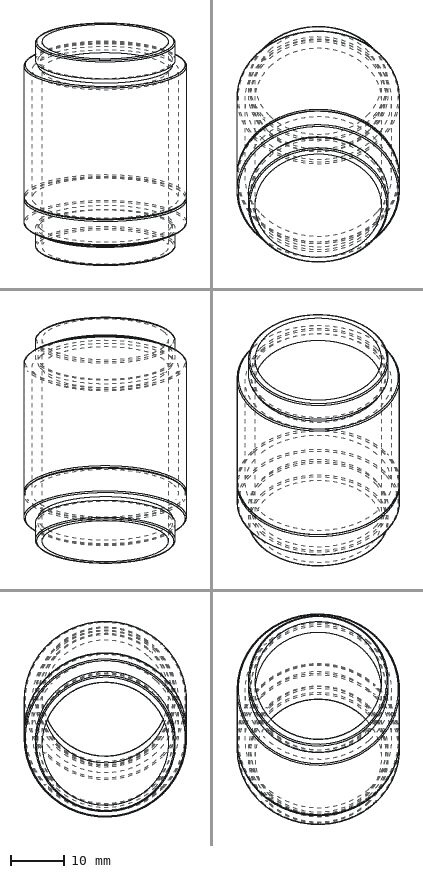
import cadquery as cq

total_length = 40.0
barrel_diameter = 30.5
bore_diameter = 23.7

flange_diameter = 26.25
flange_length = 3.6
neck_diameter = 25.3
shoulder_distance = 4.5

joint_height = 9.5
tube_diameter = 27.5
tube_top = total_length - 5.5

edge_chamfer = 0.25


def disc(diameter, bottom, top):
    """Solid cylinder on the Z axis between two heights."""
    return cq.Workplane("XY").workplane(offset=bottom).circle(diameter / 2).extrude(top - bottom)


def barrel_section(bottom, top):
    """Full-diameter length of barrel with both rims chamfered."""
    return disc(barrel_diameter, bottom, top).faces("<Z or >Z").chamfer(edge_chamfer)


def bottom_end():
    """Narrow neck and end flange standing on Z = 0, with the outer rim chamfered."""
    flange = disc(flange_diameter, 0, flange_length).faces("<Z").chamfer(edge_chamfer)
    neck = disc(neck_diameter, flange_length, shoulder_distance)
    return flange.union(neck)


def top_end():
    """Mirror image of the bottom end, placed at the top of the assembly."""
    return bottom_end().mirror("XY").translate((0, 0, total_length))


def make_bore():
    """Bore that runs through the whole assembly."""
    return disc(bore_diameter, 0, total_length)


def make_tube_envelope():
    """Space taken by the inner tube inside the sleeve."""
    return disc(tube_diameter, joint_height, tube_top)


def make_outer_sleeve():
    """Upper body: long sleeve with the top end, recessed from below for the inner tube."""
    sleeve = barrel_section(joint_height, total_length - shoulder_distance)
    return sleeve.union(top_end()).cut(make_bore()).cut(make_tube_envelope())


def make_base_tube():
    """Lower body: bottom end, short collar and the inner tube that fills the sleeve recess."""
    collar = barrel_section(shoulder_distance, joint_height)
    return collar.union(bottom_end()).union(make_tube_envelope()).cut(make_bore())


outer_sleeve = make_outer_sleeve()
base_tube = make_base_tube()

result = cq.Compound.makeCompound([outer_sleeve.val(), base_tube.val()])